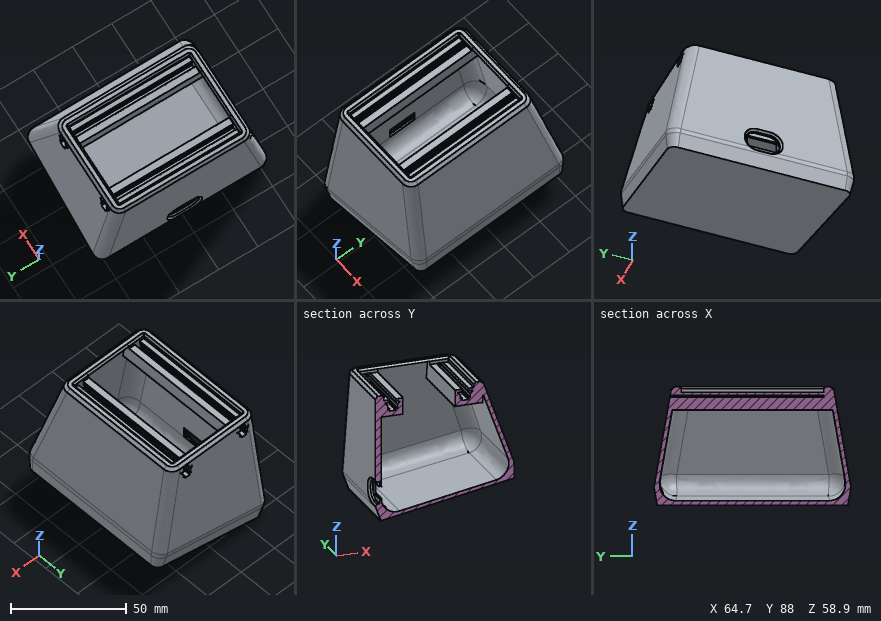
import cadquery as cq
import math

height = 58.9
top_length = 50.1
top_width = 70.3
front_slope = 20.0
side_slope = 10.0
base_tilt = 10.0
foot_height = 7.8
foot_draft = 10.0
corner_radius = 5.0
foot_edge_radius = 6.0
rim_chamfer = 1.3

wall = 2.0
back_wall = 3.1
floor_thickness = 2.0
cavity_radius = 14.0 / 2
rim_width = 4.3
lead_in = 1.0

ledge_width = 8.7
ledge_height = 7.8
ledge_drop = 2.5
slot_mouth = 2.8
slot_offset = 3.9
slot_lip = 1.5
slot_width = 6.9
slot_waist = 4.4
slot_shelf = 4.4
slot_depth = 5.3

port_z = 13.4
port_length = 16.0
port_diameter = 10.0
port_chamfer = 1.0
port_depth = 2.0
window_width = 14.0
window_height = 5.6
window_radius = 0.5

tolerance = 0.01
tilt_sin = math.sin(math.radians(base_tilt))
tilt_cos = math.cos(math.radians(base_tilt))
tilt_run = tilt_sin / tilt_cos
front_run = math.tan(math.radians(front_slope))
side_run = math.tan(math.radians(side_slope))
foot_inset = foot_height * math.tan(math.radians(foot_draft))
base_normal = cq.Vector(-tilt_sin, 0, tilt_cos)

foot_top_z = foot_height * tilt_cos - foot_inset * tilt_sin
cavity_floor_z = foot_top_z - (foot_height - floor_thickness) / tilt_cos

opening_length = top_length - 2 * rim_width
opening_width = top_width - 2 * rim_width
opening_center = top_length / 2
ledge_top = height - ledge_drop
lead_in_z = height - lead_in
beyond = top_width


def polygon(points):
    return cq.Wire.makePolygon([cq.Vector(*p) for p in points], close=True)


def ruled_solid(upper, lower):
    return cq.Workplane(cq.Solid.makeLoft([upper, lower], True))


def tilted_base_corners(back, front, half_width, top_z, base_z):
    """Corners where the walls meet a tilted plane that passes x = 0 at the height base_z."""
    front_x = (front + front_run * (top_z - base_z)) / (1 + front_run * tilt_run)
    corners = []
    for x, side in ((back, -1), (front_x, -1), (front_x, 1), (back, 1)):
        z = base_z + tilt_run * x
        corners.append((x, side * (half_width + side_run * (top_z - z)), z))
    return corners


def sloped_block(back, front, half_width, top_z, base_z, corner):
    """Block between a level top outline and a tilted base, with its four upright edges rounded."""
    top = [
        (back, -half_width, top_z),
        (front, -half_width, top_z),
        (front, half_width, top_z),
        (back, half_width, top_z),
    ]
    base = tilted_base_corners(back, front, half_width, top_z, base_z)
    block = ruled_solid(polygon(top), polygon(base))
    upright = [
        edge for edge in block.edges().vals()
        if edge.BoundingBox().zmax > top_z - tolerance and edge.BoundingBox().zlen > 0.9
    ]
    return block.newObject(upright).fillet(corner)


def tilted_base(body):
    return body.faces(cq.selectors.DirectionMinMaxSelector(base_normal, False))


def foot_bottom_outline():
    """Rounded outline of the foot's underside, drawn in from the foot's upper edge by the draft."""
    upper = tilted_base_corners(0, top_length, top_width / 2, height, foot_top_z)
    lower = []
    for (x, y, z), inward in zip(upper, (1, -1, -1, 1)):
        along = inward * foot_inset
        lower.append((
            x + foot_height * tilt_sin + along * tilt_cos,
            y - math.copysign(foot_inset, y),
            z - foot_height * tilt_cos + along * tilt_sin,
        ))
    outline = polygon(lower)
    return outline.fillet2D(corner_radius - foot_inset, outline.Vertices())


def make_envelope():
    """Outer shape with the foot, its rounded upper edge and the chamfered rim."""
    body = sloped_block(0, top_length, top_width / 2, height, foot_top_z, corner_radius)
    foot_top = tilted_base(body).val().outerWire()
    body = body.union(ruled_solid(foot_top, foot_bottom_outline()))

    def on_foot_line(edge):
        heights = [(edge.positionAt(t) - cq.Vector(0, 0, foot_top_z)).dot(base_normal) for t in (0, 1)]
        return max(abs(h) for h in heights) < tolerance

    foot_line = [edge for edge in body.edges().vals() if on_foot_line(edge)]
    body = body.newObject(foot_line).fillet(foot_edge_radius)
    return body.faces(">Z").chamfer(rim_chamfer)


def make_cavity():
    """Space inside the walls, less the two ledges, which stay solid up to the rim."""
    cavity = sloped_block(
        back_wall, top_length - wall, top_width / 2 - wall, lead_in_z, cavity_floor_z, cavity_radius
    )
    cavity = tilted_base(cavity).edges().fillet(cavity_radius)
    ledge_reach = rim_width + ledge_width
    ledges = (
        cq.Workplane("XY", origin=(opening_center, 0, ledge_top - ledge_height))
        .pushPoints([(side * (top_length - ledge_reach) / 2, 0) for side in (-1, 1)])
        .rect(ledge_reach, 2 * beyond)
        .extrude(height)
    )
    return cavity.cut(ledges)


def make_opening():
    """Rectangular opening down to the ledges, with a flared lead-in at the rim."""
    straight = (
        cq.Workplane("XY", origin=(opening_center, 0, ledge_top))
        .rect(opening_length, opening_width)
        .extrude(ledge_drop)
    )
    flare = (
        cq.Workplane("XY", origin=(opening_center, 0, lead_in_z))
        .rect(opening_length, opening_width)
        .extrude(lead_in, taper=-45)
    )
    return straight.union(flare)


def make_slot(x):
    """T-slot that starts at the -Y end of the opening and runs out through the +Y wall."""
    shoulder = slot_lip + (slot_width - slot_waist) / 2
    half_profile = [
        (slot_mouth / 2, 0),
        (slot_mouth / 2, -slot_lip),
        (slot_width / 2, -slot_lip),
        (slot_waist / 2, -shoulder),
        (slot_waist / 2, -slot_shelf),
        (slot_mouth / 2, -slot_shelf),
        (slot_mouth / 2, -slot_depth),
    ]
    mirrored = [(-offset, z) for offset, z in reversed(half_profile)]
    return (
        cq.Workplane("XZ", origin=(x, -opening_width / 2, ledge_top))
        .polyline(half_profile + mirrored)
        .close()
        .extrude(-beyond - opening_width / 2)
    )


def cut_port(body):
    """Chamfered recess in the back wall with a rectangular window behind it."""
    recess = (
        cq.Workplane("YZ", origin=(0, 0, port_z))
        .slot2D(port_length, port_diameter)
        .extrude(port_depth)
    )
    window = (
        cq.Workplane("YZ", origin=(0, 0, port_z))
        .rect(window_width, window_height)
        .extrude(back_wall + cavity_radius)
        .edges("|X")
        .fillet(window_radius)
    )
    body = body.cut(recess)

    def on_port_mouth(edge):
        box = edge.BoundingBox()
        inside_width = max(abs(box.ymin), abs(box.ymax)) < port_length / 2 + 0.1
        above_foot = box.zmin > port_z - port_diameter / 2 - 0.1
        return box.xmax < port_depth / 2 and inside_width and above_foot

    mouth = [edge for edge in body.edges().vals() if on_port_mouth(edge)]
    return body.newObject(mouth).chamfer(port_chamfer).cut(window)


housing = cut_port(make_envelope())
housing = housing.cut(make_cavity()).cut(make_opening())
for side in (-1, 1):
    slot_x = opening_center + side * (opening_length / 2 - slot_offset)
    housing = housing.cut(make_slot(slot_x))

result = cq.Compound.makeCompound([housing.val()])